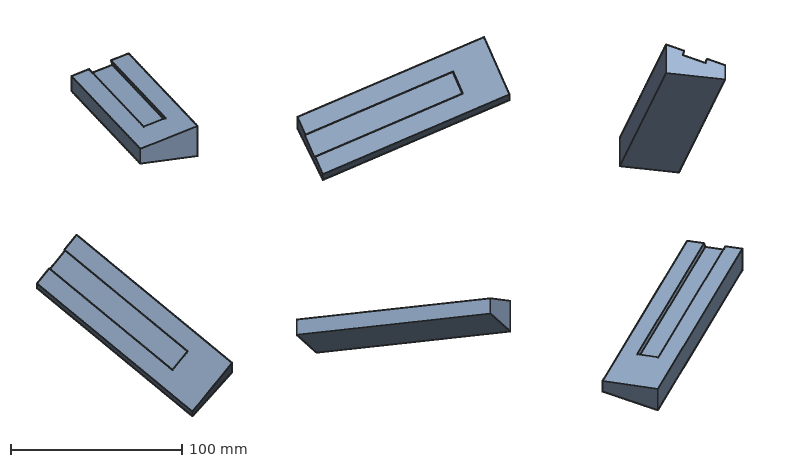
import cadquery as cq
import math

length = 120.0
width = 35.5
back_height = 19.0
slope_angle = 15.0
front_height = back_height - width * math.tan(math.radians(slope_angle))

groove_length = 95.0
groove_width = 14.0
groove_depth = 3.0
groove_back_offset = 11.4


def make_wedge():
    """Block with its low side at -Y and its sloping face on top."""
    profile = [(0, 0), (width, 0), (width, back_height), (0, front_height)]
    return cq.Workplane("YZ").polyline(profile).close().extrude(length)


def make_groove_cutter():
    """Box sunk into the sloping face, standing clear above it."""
    clearance = groove_depth
    return (
        cq.Workplane("XY")
        .box(groove_length, groove_width, groove_depth + clearance, centered=False)
        .translate((0, -groove_back_offset - groove_width, -groove_depth))
        .rotate((0, 0, 0), (1, 0, 0), slope_angle)
        .translate((0, width, back_height))
    )


result = make_wedge().cut(make_groove_cutter())